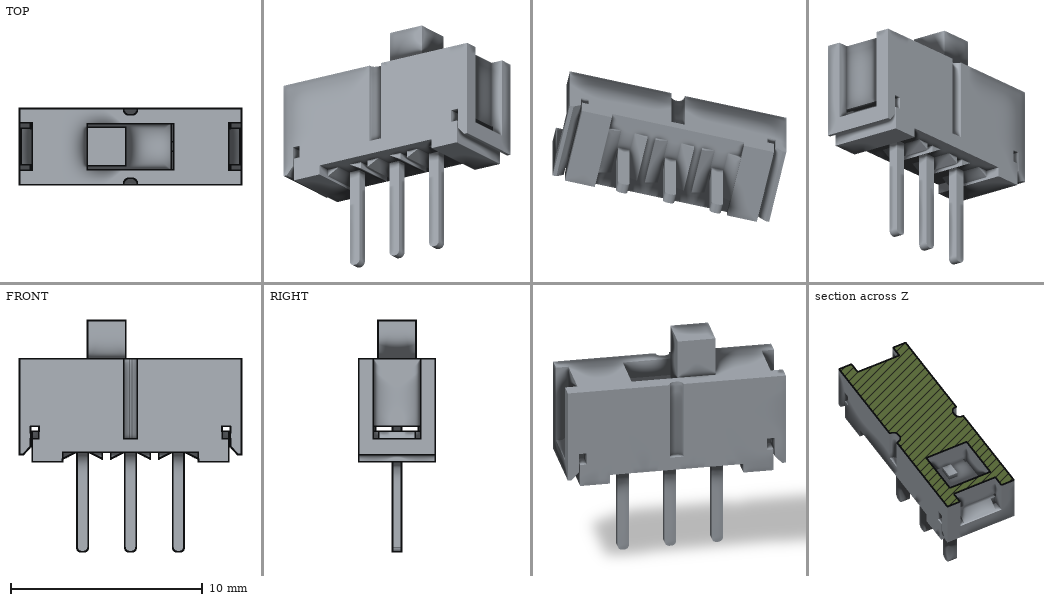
import cadquery as cq


body_half_length = 11.6 / 2
body_half_width = 4.0 / 2
body_height = 5.4
overall_height = 12.1
knob_height = 2.0
pin_tip_depth = overall_height - knob_height

strap_bottom_depth = 5.02
strap_inner_half = 5.22
strap_chamfer_width = 0.39
strap_chamfer_height = 0.42
window_half_width = 1.23

base_half_length = 5.14
base_top_depth = 3.8
shoulder_depth = 4.19
latch_half_width = 0.95
latch_tip = 5.71

notch_inner_half = 4.79
notch_top_depth = 3.55
tunnel_half_width = 1.11

opening_half_length = 2.25
opening_half_width = 1.2
roof_thickness = 0.94
slider_gap = 0.11
slider_end = opening_half_length - slider_gap
knob_size = 2.01
knob_travel = 2 * opening_half_length - knob_size
cavity_half_length = slider_end + knob_travel

groove_width = 0.73
groove_reach = 0.35
groove_corner_radius = 0.3

pin_pitch = 2.5
pin_width = 0.6
contact_width = 0.73
pin_thickness = 0.5
pin_tip_radius = 0.25
ridge_inner = 0.35
ridge_outer = 1.04
ridge_height = 0.35
ridge_half_width = 1.21
underside_depth = 4.9
underside_half_length = pin_pitch + ridge_outer

pin_centres = [-pin_pitch, 0, pin_pitch]


def block(x_min, x_max, half_width, depth_top, depth_bottom):
    """Box centred on Y, between two X positions and two depths."""
    height = depth_bottom - depth_top
    return (
        cq.Workplane("XY")
        .box(x_max - x_min, 2 * half_width, height, centered=(False, True, False))
        .translate((x_min, 0, -depth_bottom))
    )


def prism(points, half_width):
    """Closed XZ outline extruded equally to both sides of the centre plane."""
    return cq.Workplane("XZ").polyline(points).close().extrude(half_width, both=True)


def both_ends(feature):
    """The +X feature together with its mirror image at -X."""
    return feature.union(feature.mirror("YZ"))


def make_housing():
    """Solid block with a raised underside between its two feet."""
    blank = block(-body_half_length, body_half_length, body_half_width, 0, body_height)
    underside = block(
        -underside_half_length, underside_half_length, body_half_width, underside_depth, body_height
    )
    return blank.cut(underside)


def strap_clearance():
    """Space beside and below an end strap, chamfered at the strap's lower inner edge."""
    chamfer_outer = strap_inner_half + strap_chamfer_width
    chamfer_start_depth = strap_bottom_depth - strap_chamfer_height
    return prism(
        [
            (base_half_length, -notch_top_depth),
            (strap_inner_half, -notch_top_depth),
            (strap_inner_half, -chamfer_start_depth),
            (chamfer_outer, -strap_bottom_depth),
            (body_half_length, -strap_bottom_depth),
            (body_half_length, -body_height),
            (base_half_length, -body_height),
        ],
        body_half_width,
    )


def latch():
    """Hook on the base end that slopes outward onto the strap."""
    return prism(
        [
            (notch_inner_half, -base_top_depth),
            (base_half_length, -base_top_depth),
            (latch_tip, -shoulder_depth),
            (notch_inner_half, -shoulder_depth),
        ],
        latch_half_width,
    )


def groove():
    """Round-cornered vertical groove in the -Y side."""
    outline = block(-groove_width / 2, groove_width / 2, groove_reach, 0, shoulder_depth)
    return outline.edges("|Z").fillet(groove_corner_radius).translate((0, -body_half_width, 0))


def pin(x_centre):
    """Flat pin with a rounded tip and a wider contact head that reaches the level of the tunnel roof."""
    blade = block(-pin_width / 2, pin_width / 2, pin_thickness / 2, base_top_depth, pin_tip_depth)
    blade = blade.edges("<Z and |Y").fillet(pin_tip_radius)
    head = block(
        -contact_width / 2, contact_width / 2, pin_thickness / 2, notch_top_depth, base_top_depth
    )
    return blade.union(head).translate((x_centre, 0, 0))


def ridge_pair(x_centre):
    """Two wedge ridges under the base, sloping up toward the pin between them."""
    ridge = prism(
        [
            (ridge_inner, -underside_depth),
            (ridge_outer, -underside_depth),
            (ridge_outer, -underside_depth - ridge_height),
        ],
        ridge_half_width,
    )
    return both_ends(ridge).translate((x_centre, 0, 0))


result = make_housing()

window = block(base_half_length, body_half_length, window_half_width, 0, shoulder_depth)
notch = block(notch_inner_half, strap_inner_half, body_half_width, notch_top_depth, shoulder_depth)
result = result.cut(both_ends(window)).cut(both_ends(notch)).cut(both_ends(strap_clearance()))

base_end = block(notch_inner_half, base_half_length, window_half_width, base_top_depth, shoulder_depth)
result = result.union(both_ends(base_end)).union(both_ends(latch()))

result = result.cut(
    block(-base_half_length, base_half_length, tunnel_half_width, notch_top_depth, base_top_depth)
)

result = result.cut(
    block(-opening_half_length, opening_half_length, opening_half_width, 0, roof_thickness)
)
result = result.cut(
    block(slider_end, cavity_half_length, opening_half_width, roof_thickness, base_top_depth)
)

result = result.union(
    block(
        -opening_half_length,
        -opening_half_length + knob_size,
        knob_size / 2,
        -knob_height,
        roof_thickness,
    )
)

result = result.cut(groove()).cut(groove().mirror("XZ"))

for x_centre in pin_centres:
    result = result.union(pin(x_centre)).union(ridge_pair(x_centre))